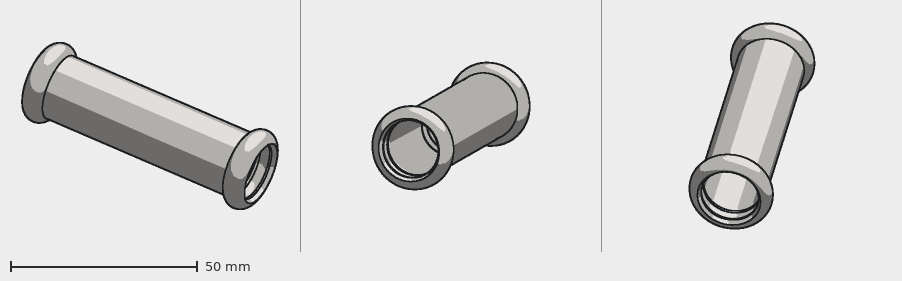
import cadquery as cq
import math

length = 69.0
tube_radius = 18.3 / 2
bore_radius = 15.3 / 2
stop_radius = 15.0 / 2
stop_length = 4.0
socket_radius = 15.7 / 2
mouth_radius = 17.2 / 2

bead_radius = 22.71 / 2
bead_crest_depth = 3.29

cone_depth = 1.3
groove_start_depth = 1.9
groove_width = 2.8
land_end_depth = 5.6
groove_section_radius = 3.3
shoulder_section_radius = 1.9

half_length = length / 2
bead_rise = bead_radius - mouth_radius
bead_section_radius = (bead_crest_depth**2 + bead_rise**2) / (2 * bead_rise)
bead_section_center = bead_radius - bead_section_radius
bead_back_length = math.sqrt(bead_section_radius**2 - (tube_radius - bead_section_center) ** 2)
bead_crest_x = half_length - bead_crest_depth
shoulder_drop = socket_radius - bore_radius
shoulder_angle = math.acos(1 - shoulder_drop / shoulder_section_radius)
shoulder_length = shoulder_section_radius * math.sin(shoulder_angle)


def revolve_about_x(profile):
    """Turn a profile, drawn as (position along X, radius), about the X axis."""
    return profile.close().revolve(360, (0, 0, 0), (1, 0, 0))


def make_cylinder(radius, span):
    """Cylinder along X, centred on the middle of the part."""
    return cq.Workplane("YZ").circle(radius).extrude(span / 2, both=True)


def make_bead():
    """Rounded bead at the +X end, from the rim of the mouth over the crest to the tube."""
    back_x = bead_crest_x - bead_back_length
    profile = (
        cq.Workplane("XY")
        .moveTo(half_length, 0)
        .lineTo(half_length, mouth_radius)
        .threePointArc((bead_crest_x, bead_radius), (back_x, tube_radius))
        .lineTo(back_x, 0)
    )
    return revolve_about_x(profile)


def make_socket():
    """Hollow from the +X mouth to the stop: cone, lip, seal groove, land, shoulder and bore."""
    groove_start_x = half_length - groove_start_depth
    land_end_x = half_length - land_end_depth
    bore_start_x = land_end_x - shoulder_length
    profile = (
        cq.Workplane("XY")
        .moveTo(half_length, 0)
        .lineTo(half_length, mouth_radius)
        .lineTo(half_length - cone_depth, socket_radius)
        .lineTo(groove_start_x, socket_radius)
        .radiusArc((groove_start_x - groove_width, socket_radius), -groove_section_radius)
        .lineTo(land_end_x, socket_radius)
        .radiusArc((bore_start_x, bore_radius), shoulder_section_radius)
        .lineTo(stop_length / 2, bore_radius)
        .lineTo(stop_length / 2, 0)
    )
    return revolve_about_x(profile)


tube = make_cylinder(tube_radius, 2 * bead_crest_x)
bead = make_bead()
body = tube.union(bead).union(bead.mirror("YZ"))

stop_hole = make_cylinder(stop_radius, length)
socket = make_socket()
result = body.cut(stop_hole).cut(socket).cut(socket.mirror("YZ"))